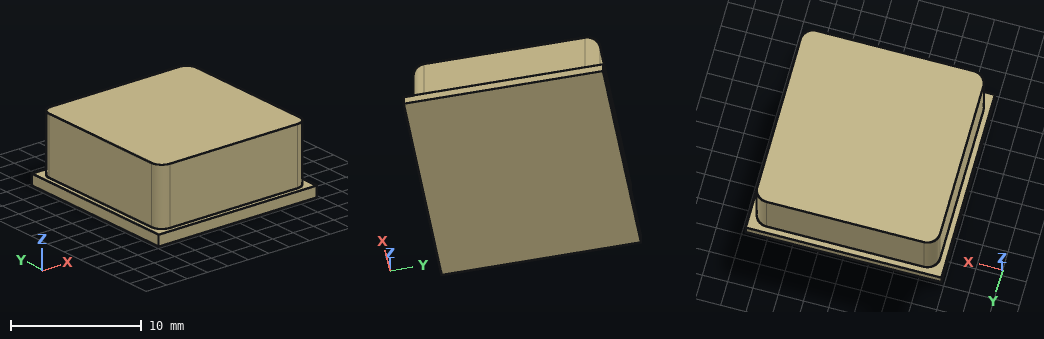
import cadquery as cq

base_side = 15.5
base_thickness = 1.0

total_height = 6.32
cap_side = 14.5
cap_corner_radius = 1.0
cap_height = total_height - base_thickness


def make_base():
    """Plate with sharp corners, resting on Z = 0."""
    return cq.Workplane("XY").rect(base_side, base_side).extrude(base_thickness)


def make_cap():
    """Block with rounded vertical edges, resting on top of the plate."""
    return (
        cq.Workplane("XY", origin=(0, 0, base_thickness))
        .rect(cap_side, cap_side)
        .extrude(cap_height)
        .edges("|Z")
        .fillet(cap_corner_radius)
    )


result = make_base().union(make_cap())